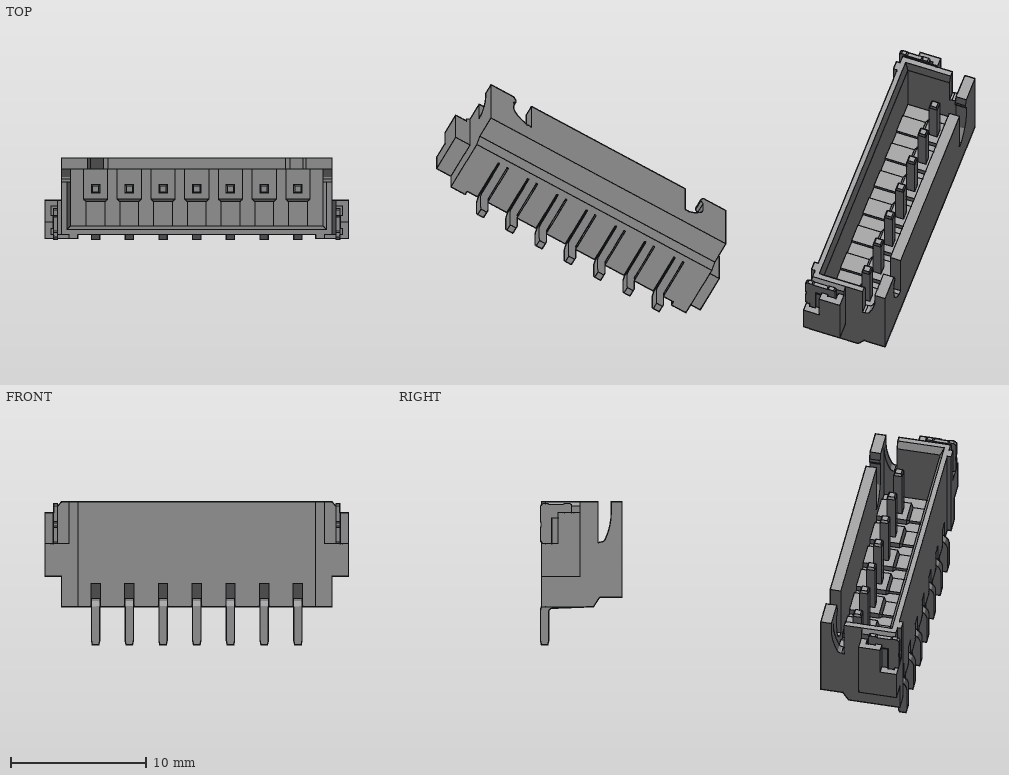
import cadquery as cq


overall_length = 22.5
housing_length = 20.05
housing_depth = 5.98
housing_height = 7.78
front_face_y = 0.3

pin_count = 7
pin_pitch = 2.5
pin_width = 0.63

half_housing = housing_length / 2
half_length = overall_length / 2

rear_foot_height = 0.7
slope_front_y = 3.87
slope_rear_y = 4.32
end_wall = 0.68
front_wall = 0.65
rear_wall = 0.8
floor_z = 2.25
rim_chamfer_width = 0.27
rim_chamfer_depth = 0.56
cavity_front_y = front_face_y + front_wall
cavity_rear_y = housing_depth - rear_wall
cavity_depth = cavity_rear_y - cavity_front_y
cavity_half_length = half_housing - end_wall

side_slot_front_y = 4.2
side_slot_floor_z = 4.75
side_slot_ramp_y = 4.4
side_slot_ramp_z = 4.82
side_slot_root_y = 4.75
side_slot_root_z = 5.05
side_slot_root_sag = 0.07
side_slot_curve_z = 7.09
side_slot_curve_sag = 0.11
arm_tip_x = 8.08
arm_nose_x = 7.88
arm_nose_top = 0.55
arm_nose_bottom = 0.83
arm_neck_top = 1.15
arm_neck_bottom = 2.36
arm_root_x = 6.9
arm_root_sag = 0.32
panel_edge_x = 6.57
rear_slot_depth = 4.39

pad_width = 1.8
pad_front_y = 2.92
pad_height = 0.45
rib_width = 1.4
rib_rear_y = 2.75
rib_height = 0.22

channel_width = 0.7
channel_top_z = 1.73
channel_ramp_y = 0.88
channel_end_y = 3.38
channel_flare = 0.1

pin_top_z = 6.8
pin_bottom_z = -2.81
pin_row_y = 3.7
pin_front_y = -0.07
leg_rear_z = 0.0
leg_front_z = -0.14
bend_inner = 0.22
bend_outer = bend_inner + pin_width
head_taper_width = 0.1
head_taper_length = 0.2
tail_taper_width = 0.07
tail_taper_length = 0.32

flange_inner_x = 8.8
flange_step_x = 9.47
wing_rear_y = 2.85
wing_bottom_z = 2.25
wing_top_z = 6.98
wing_step_y = 1.24
wing_step_z = 4.68
bolster_x = 10.3
bolster_bevel_drop = 0.34

clip_outer_x = 10.6
clip_front_y = -0.07
clip_rear_y = 2.25
clip_top_z = 7.65
clip_dip_z = 7.58
clip_dip_front_y = 0.45
clip_dip_rear_y = 1.73
clip_corner = 0.11
clip_foot_round = 0.3
clip_lead_in = 0.18
clip_nick_z = 6.1
clip_nick_floor = 0.2
clip_nick_mouth = 0.47
clip_nick_depth = 0.05
pocket_outer_x = 10.78
pocket_front_y = front_face_y
pocket_rear_y = 2.4
pocket_floor_z = 4.28
emboss_outer_x = 10.66
emboss_front_y = 0.75
emboss_rear_y = 1.7
emboss_top_z = 6.6
emboss_bevel = 0.05


def block(x0, x1, y0, y1, z0, z1):
    """Axis-aligned box between two opposite corners."""
    return cq.Workplane("XY").box(x1 - x0, y1 - y0, z1 - z0, centered=False).translate((x0, y0, z0))


def extrude_x(outline, x0, x1):
    """Extrude a closed YZ outline from x0 to x1."""
    return outline.extrude(x1 - x0).translate((x0, 0, 0))


def both_ends(shape):
    """Add the mirror image at the opposite end of the row."""
    return shape.union(shape.mirror("YZ"))


def housing_block():
    outline = cq.Workplane("YZ").polyline([
        (front_face_y, 0),
        (slope_front_y, 0),
        (slope_rear_y, rear_foot_height),
        (housing_depth, rear_foot_height),
        (housing_depth, housing_height),
        (front_face_y, housing_height),
    ]).close()
    return extrude_x(outline, -half_housing, half_housing)


def cavity():
    well = block(-cavity_half_length, cavity_half_length, cavity_front_y, cavity_rear_y,
                 floor_z, housing_height)
    mouth_depth = cavity_depth + rim_chamfer_width
    mouth_center_y = cavity_rear_y - mouth_depth / 2
    lower_center_y = cavity_rear_y - cavity_depth / 2
    lead_in = (
        cq.Workplane("XY", origin=(0, mouth_center_y, housing_height))
        .rect(2 * (cavity_half_length + rim_chamfer_width), mouth_depth)
        .workplane(offset=-rim_chamfer_depth)
        .center(0, lower_center_y - mouth_center_y)
        .rect(2 * cavity_half_length, cavity_depth)
        .loft(ruled=True)
    )
    return well.union(lead_in)


def side_slot():
    """Slot through an end wall that separates the latch arm from it."""
    outline = (
        cq.Workplane("YZ")
        .moveTo(side_slot_front_y, housing_height)
        .lineTo(side_slot_front_y, side_slot_floor_z)
        .lineTo(side_slot_ramp_y, side_slot_ramp_z)
        .sagittaArc((side_slot_root_y, side_slot_root_z), -side_slot_root_sag)
        .sagittaArc((cavity_rear_y, side_slot_curve_z), -side_slot_curve_sag)
        .lineTo(cavity_rear_y, housing_height)
        .close()
    )
    return extrude_x(outline, cavity_half_length, half_housing)


def rear_slot():
    """Slot in the rear wall between a nosed latch arm and the central panel."""
    slot_bottom_z = housing_height - rear_slot_depth
    neck_bottom_z = housing_height - arm_neck_bottom
    chord_mid_x = (arm_tip_x + arm_root_x) / 2
    chord_mid_z = (neck_bottom_z + slot_bottom_z) / 2
    return (
        cq.Workplane("XZ")
        .moveTo(panel_edge_x, housing_height)
        .lineTo(arm_tip_x, housing_height)
        .lineTo(arm_nose_x, housing_height - arm_nose_top)
        .lineTo(arm_nose_x, housing_height - arm_nose_bottom)
        .lineTo(arm_tip_x, housing_height - arm_neck_top)
        .lineTo(arm_tip_x, neck_bottom_z)
        .threePointArc((chord_mid_x + arm_root_sag, chord_mid_z), (arm_root_x, slot_bottom_z))
        .lineTo(panel_edge_x, slot_bottom_z)
        .close()
        .extrude(-rear_wall)
        .translate((0, cavity_rear_y, 0))
    )


def floor_pad():
    """Raised pad behind a pin, ramping down to a lower rib that reaches the front wall."""
    pad = (
        cq.Workplane("XY")
        .polyline([
            (-pad_width / 2, cavity_rear_y),
            (-pad_width / 2, pad_front_y),
            (-rib_width / 2, rib_rear_y),
            (rib_width / 2, rib_rear_y),
            (pad_width / 2, pad_front_y),
            (pad_width / 2, cavity_rear_y),
        ])
        .close()
        .extrude(pad_height)
        .translate((0, 0, floor_z))
    )
    ramp = extrude_x(
        cq.Workplane("YZ").polyline([
            (pad_front_y, floor_z + pad_height),
            (rib_rear_y, floor_z + rib_height),
            (rib_rear_y, floor_z + pad_height),
        ]).close(),
        -pad_width / 2, pad_width / 2)
    rib = block(-rib_width / 2, rib_width / 2, cavity_front_y, rib_rear_y, floor_z, floor_z + rib_height)
    return pad.cut(ramp).union(rib)


def pin_channel():
    """Open-bottomed channel for the pin leg, with a flared mouth at the front wall's lower edge."""
    channel = extrude_x(
        cq.Workplane("YZ").polyline([
            (front_face_y, 0),
            (front_face_y, channel_top_z),
            (channel_ramp_y, leg_rear_z + pin_width),
            (channel_end_y, leg_rear_z + pin_width),
            (channel_end_y, 0),
        ]).close(),
        -channel_width / 2, channel_width / 2)
    flare = (
        cq.Workplane("XZ")
        .polyline([
            (-channel_width / 2 - channel_flare, 0),
            (-channel_width / 2, channel_flare),
            (channel_width / 2, channel_flare),
            (channel_width / 2 + channel_flare, 0),
        ])
        .close()
        .extrude(-(channel_end_y - front_face_y))
        .translate((0, front_face_y, 0))
    )
    return channel.union(flare)


def tapered_end(center_y, inset, length):
    """Truncated pyramid on a pin's square section, shrinking by inset per side over length."""
    return (
        cq.Workplane("XY", origin=(0, center_y, -length))
        .rect(pin_width, pin_width)
        .workplane(offset=length)
        .rect(pin_width - 2 * inset, pin_width - 2 * inset)
        .loft(ruled=True)
    )


def pin():
    """Square pin: mating post, slightly drooping rearward leg and solder tail."""
    post_front_y = pin_row_y - pin_width / 2
    post_rear_y = pin_row_y + pin_width / 2
    tail_rear_y = pin_front_y + pin_width
    body = extrude_x(
        cq.Workplane("YZ").polyline([
            (post_front_y, pin_top_z - head_taper_length),
            (post_rear_y, pin_top_z - head_taper_length),
            (post_rear_y, leg_rear_z),
            (tail_rear_y, leg_front_z),
            (tail_rear_y, pin_bottom_z + tail_taper_length),
            (pin_front_y, pin_bottom_z + tail_taper_length),
            (pin_front_y, leg_front_z + pin_width),
            (post_front_y, leg_rear_z + pin_width),
        ]).close(),
        -pin_width / 2, pin_width / 2)

    def bend_edge(y, z):
        return cq.selectors.NearestToPointSelector((0, y, z))

    body = body.edges(bend_edge(post_rear_y, leg_rear_z)).fillet(bend_outer)
    body = body.edges(bend_edge(pin_front_y, leg_front_z + pin_width)).fillet(bend_outer)
    body = body.edges(bend_edge(tail_rear_y, leg_front_z)).fillet(bend_inner)
    body = body.edges(bend_edge(post_front_y, leg_rear_z + pin_width)).fillet(bend_inner)
    head = tapered_end(pin_row_y, head_taper_width, head_taper_length).translate((0, 0, pin_top_z))
    tail = (
        tapered_end(pin_front_y + pin_width / 2, tail_taper_width, tail_taper_length)
        .mirror("XY")
        .translate((0, 0, pin_bottom_z))
    )
    return body.union(head).union(tail)


def wing():
    """Front flange strip, wall bolster and stepped side wing at the +X end."""
    flange = block(flange_inner_x, half_housing, 0, front_face_y, 0, housing_height)
    flange = flange.cut(block(flange_step_x, half_housing, 0, front_face_y, wing_step_z, housing_height))
    side = extrude_x(
        cq.Workplane("YZ").polyline([
            (0, wing_bottom_z),
            (wing_rear_y, wing_bottom_z),
            (wing_rear_y, wing_top_z),
            (wing_step_y, wing_top_z),
            (wing_step_y, wing_step_z),
            (0, wing_step_z),
        ]).close(),
        half_housing, half_length)
    bolster = (
        cq.Workplane("XZ")
        .polyline([
            (half_housing, wing_bottom_z),
            (bolster_x, wing_bottom_z),
            (bolster_x, housing_height - bolster_bevel_drop),
            (half_housing, housing_height),
        ])
        .close()
        .extrude(-(wing_rear_y - front_face_y))
        .translate((0, front_face_y, 0))
    )
    slit = block(bolster_x, emboss_outer_x, pocket_front_y, pocket_rear_y, pocket_floor_z, wing_top_z)
    front_pocket = block(bolster_x, pocket_outer_x, pocket_front_y, emboss_front_y, pocket_floor_z, wing_top_z)
    rear_pocket = block(bolster_x, pocket_outer_x, emboss_rear_y, pocket_rear_y, pocket_floor_z, wing_top_z)
    side = side.cut(slit).cut(front_pocket).cut(rear_pocket)
    return flange.union(side).union(bolster)


def clip():
    """Flat retention clip standing in the +X wing pocket, with an embossed outer face."""
    plate = extrude_x(
        cq.Workplane("YZ")
        .moveTo(clip_foot_round + clip_front_y, pocket_floor_z)
        .lineTo(clip_rear_y, pocket_floor_z)
        .lineTo(clip_rear_y, clip_top_z - clip_corner)
        .lineTo(clip_rear_y - clip_corner, clip_top_z)
        .lineTo(clip_dip_rear_y, clip_top_z)
        .lineTo(clip_dip_rear_y - clip_corner, clip_dip_z)
        .lineTo(clip_dip_front_y + clip_corner, clip_dip_z)
        .lineTo(clip_dip_front_y, clip_top_z)
        .lineTo(clip_front_y + clip_lead_in, clip_top_z)
        .lineTo(clip_front_y, clip_top_z - clip_lead_in)
        .lineTo(clip_front_y, wing_step_z + clip_foot_round)
        .radiusArc((clip_front_y + clip_foot_round, wing_step_z), -clip_foot_round)
        .close(),
        bolster_x, clip_outer_x)
    nick = extrude_x(
        cq.Workplane("YZ").polyline([
            (clip_front_y, clip_nick_z - clip_nick_mouth / 2),
            (clip_front_y + clip_nick_depth, clip_nick_z - clip_nick_floor / 2),
            (clip_front_y + clip_nick_depth, clip_nick_z + clip_nick_floor / 2),
            (clip_front_y, clip_nick_z + clip_nick_mouth / 2),
        ]).close(),
        bolster_x, clip_outer_x)
    emboss = block(clip_outer_x, emboss_outer_x, emboss_front_y, emboss_rear_y, pocket_floor_z, emboss_top_z)
    emboss = emboss.edges(">X and <Y").chamfer(emboss_bevel)
    return plate.cut(nick).union(emboss)


housing = housing_block().cut(cavity())
housing = housing.cut(both_ends(side_slot())).cut(both_ends(rear_slot()))
housing = housing.union(both_ends(wing().union(clip())))

result = housing
for index in range(pin_count):
    pin_x = (index - (pin_count - 1) / 2) * pin_pitch
    result = result.union(floor_pad().translate((pin_x, 0, 0)))
    result = result.cut(pin_channel().translate((pin_x, 0, 0)))
    result = result.union(pin().translate((pin_x, 0, 0)))